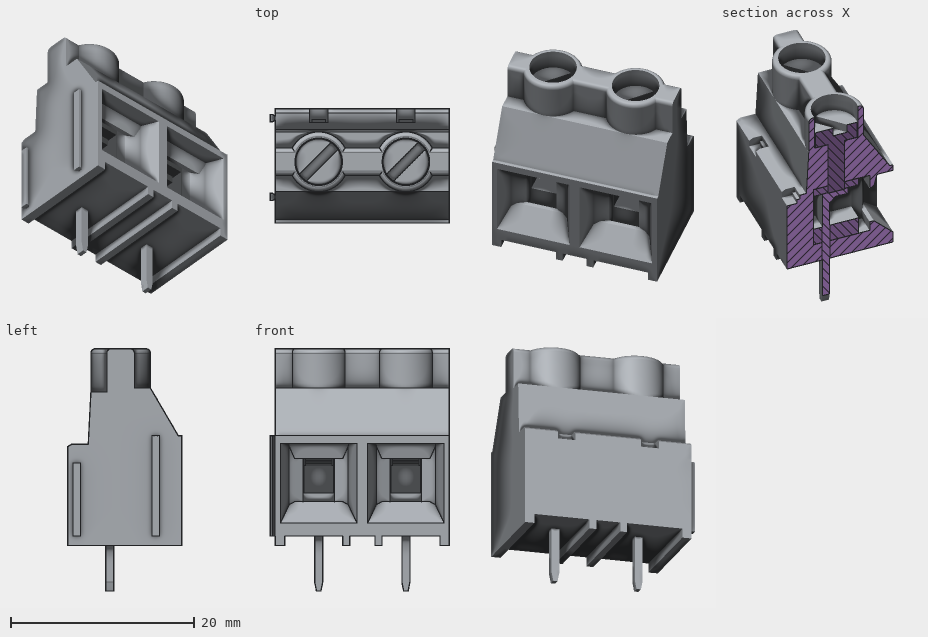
import cadquery as cq


pole_count = 2
body_width = 19.05
pole_pitch = body_width / pole_count
body_depth = 12.5
body_height = 21.52
standoff = 1.03

screw_y = 6.7
boss_radius = 3.25
web_thickness = 3.02
crest_fillet = 0.5
bore_radius = 2.6

front_ledge_depth = 0.4
front_ledge_z = 12.0
front_shoulder_y = screw_y - boss_radius
front_shoulder_z = 17.22
rear_shoulder_y = screw_y + boss_radius
rear_shoulder_z = 16.8
rear_ledge_y = 10.25
rear_ledge_z = 11.08
rear_chamfer_depth = 0.45
rear_chamfer_height = 0.26

outer_foot_width = 1.05
inner_foot_width = 0.8
inner_foot_gap = 2.73

rib_height = 0.55
rib_rim = 0.3
rib_width = 0.82
rib_neck = 0.4
rear_rib_y = 11.47
rear_rib_top = 9.04
front_rib_y = 2.85

opening_width = 8.35
opening_bottom = 2.5
opening_top = 11.15
throat_y = 1.95
throat_width = 6.45
passage_y = 2.78
passage_width = 3.42
passage_bottom = 4.8
passage_top = 9.51
floor_ramp_end = 2.28
roof_ramp_start = 1.88
roof_ramp_end = 2.28

notch_width = 2.01
notch_depth = 1.5
notch_height = 1.05
notch_rib_width = 1.5
notch_rib_depth = 0.35
notch_rib_height = 0.53

cage_front = 4.08
cage_rear = 2 * screw_y - cage_front
cage_bottom = 3.58
cage_top = 11.3
window_width = 3.2
window_bottom = 5.75
window_top = 10.34

pin_length = 4.98
pin_width = 0.9
pin_tip_width = 0.5
pin_tip_length = 1.0
contact_front = 7.45
contact_thickness = 0.9
contact_rear = contact_front + contact_thickness
plate_top = 8.75
leaf_width = 2.9
leaf_front = 5.3
cove_count = 3
cove_radius = 0.26

head_diameter = 5.0
head_top = 19.32
head_height = 2.12
shank_radius = 1.05
slot_width = 1.09
slot_depth = 1.05
slot_angle = 45

pole_centres = [pole_pitch * (index + 0.5) for index in range(pole_count)]


def box(x_centre, width, y_min, y_max, z_min, z_max):
    """A box centred on x_centre, between the given Y and Z limits."""
    size = (width, y_max - y_min, z_max - z_min)
    return cq.Workplane("XY").box(*size, centered=(True, False, False)).translate((x_centre, y_min, z_min))


def cylinder(x_centre, radius, z_min, z_max):
    """An upright cylinder on the screw axis of one pole."""
    return cq.Workplane("XY", origin=(x_centre, screw_y, z_min)).circle(radius).extrude(z_max - z_min)


def side_extrusion(points, x_centre, width):
    """A (Y, Z) outline extruded along X, centred on x_centre."""
    return cq.Workplane("YZ", origin=(x_centre, 0, 0)).polyline(points).close().extrude(width / 2, both=True)


def housing_block():
    outline = [
        (0, 0),
        (body_depth, 0),
        (body_depth, rear_ledge_z - rear_chamfer_height),
        (body_depth - rear_chamfer_depth, rear_ledge_z),
        (rear_ledge_y, rear_ledge_z),
        (rear_shoulder_y, rear_shoulder_z),
        (screw_y, rear_shoulder_z),
        (screw_y, front_shoulder_z),
        (front_shoulder_y, front_shoulder_z),
        (front_ledge_depth, front_ledge_z),
        (0, front_ledge_z),
    ]
    return side_extrusion(outline, body_width / 2, body_width)


def housing_crest():
    """The web along the top with a boss around each screw, rounded along its top edges."""
    web_front = screw_y - web_thickness / 2
    web_rear = screw_y + web_thickness / 2
    untrimmed_width = body_width + 4 * crest_fillet
    crest = box(body_width / 2, untrimmed_width, web_front, web_rear, rear_ledge_z, body_height)
    for x in pole_centres:
        crest = crest.union(cylinder(x, boss_radius, rear_shoulder_z, body_height))
    crest = crest.faces(">Z").edges().fillet(crest_fillet)
    return crest.intersect(box(body_width / 2, body_width, 0, body_depth, 0, body_height))


def standoff_channels():
    """Channels along Y that leave the four feet on the underside."""
    centre = body_width / 2
    inner_foot_outside = inner_foot_gap / 2 + inner_foot_width
    side_width = centre - outer_foot_width - inner_foot_outside
    side_offset = inner_foot_outside + side_width / 2
    channels = box(centre, inner_foot_gap, 0, body_depth, 0, standoff)
    for x in (centre - side_offset, centre + side_offset):
        channels = channels.union(box(x, side_width, 0, body_depth, 0, standoff))
    return channels


def dovetail_rib(y_centre, top):
    outline = [
        (0, y_centre - rib_neck / 2),
        (rib_rim - rib_height, y_centre - rib_width / 2),
        (-rib_height, y_centre - rib_width / 2),
        (-rib_height, y_centre + rib_width / 2),
        (rib_rim - rib_height, y_centre + rib_width / 2),
        (0, y_centre + rib_neck / 2),
    ]
    return cq.Workplane("XY", origin=(0, 0, standoff)).polyline(outline).close().extrude(top - standoff)


def wire_opening(x_centre):
    """The funnel down to the mouth of the cage chamber: a plan outline cut to a floor and roof profile."""
    half_plan = [
        (opening_width / 2, 0),
        (throat_width / 2, throat_y),
        (passage_width / 2, passage_y),
    ]
    plan = half_plan + [(-x, y) for x, y in reversed(half_plan)]
    profile = [
        (0, opening_bottom),
        (floor_ramp_end, passage_bottom),
        (passage_y, passage_bottom),
        (passage_y, passage_top),
        (roof_ramp_end, passage_top),
        (roof_ramp_start, opening_top),
        (0, opening_top),
    ]
    funnel = cq.Workplane("XY", origin=(x_centre, 0, 0)).polyline(plan).close().extrude(opening_top)
    return funnel.intersect(side_extrusion(profile, x_centre, opening_width))


def rear_notch(x_centre):
    """A notch in the rear ledge, with a low rib left standing against its front wall."""
    front = body_depth - notch_depth
    floor = rear_ledge_z - notch_height
    notch = box(x_centre, notch_width, front, body_depth, floor, rear_ledge_z)
    rib = box(x_centre, notch_rib_width, front, front + notch_rib_depth, floor, floor + notch_rib_height)
    return notch.cut(rib)


def cage_envelope(x_centre):
    return box(x_centre, passage_width, cage_front, cage_rear, cage_bottom, cage_top)


def cage_chamber(x_centre):
    """The chamber that holds the cage and opens into the funnel in front of it."""
    return box(x_centre, passage_width, passage_y, cage_rear, cage_bottom, cage_top)


def pin_passage(x_centre):
    """The straight hole that the solder pin fills below the cage window."""
    return box(x_centre, pin_width, contact_front, contact_rear, 0, window_bottom)


def make_housing():
    housing = housing_block().union(housing_crest()).cut(standoff_channels())
    housing = housing.union(dovetail_rib(front_rib_y, front_ledge_z))
    housing = housing.union(dovetail_rib(rear_rib_y, rear_rib_top))
    for x in pole_centres:
        housing = housing.cut(cylinder(x, bore_radius, head_top - head_height, body_height))
        housing = housing.cut(cylinder(x, shank_radius, cage_top, body_height))
        housing = housing.cut(wire_opening(x)).cut(rear_notch(x))
        housing = housing.cut(cage_chamber(x)).cut(pin_passage(x))
    return housing


def make_cage(x_centre):
    """A rectangular tube open along Y, pierced by the screw above and the solder pin below."""
    cage = cage_envelope(x_centre)
    cage = cage.cut(box(x_centre, window_width, cage_front, cage_rear, window_bottom, window_top))
    cage = cage.cut(cylinder(x_centre, shank_radius, window_top, cage_top))
    return cage.cut(pin_passage(x_centre))


def contact_leaf(x_centre):
    """The leaf under the screw; a flight of concave coves leads from the plate to its underside."""
    diagonal = cove_radius * 0.5 ** 0.5
    y = contact_front
    z = plate_top
    outline = cq.Workplane("YZ", origin=(x_centre, 0, 0)).moveTo(contact_rear, plate_top).lineTo(y, z)
    for _ in range(cove_count):
        middle = (y - cove_radius + diagonal, z + diagonal)
        y -= cove_radius
        z += cove_radius
        outline = outline.threePointArc(middle, (y, z))
    outline = outline.lineTo(leaf_front, z).lineTo(leaf_front, window_top).lineTo(contact_rear, window_top)
    return outline.close().extrude(leaf_width / 2, both=True)


def make_contact(x_centre):
    """The plate inside the cage with its leaf above and its pointed solder pin below."""
    taper_z = pin_tip_length - pin_length
    pin_outline = [
        (-pin_width / 2, window_bottom),
        (-pin_width / 2, taper_z),
        (-pin_tip_width / 2, -pin_length),
        (pin_tip_width / 2, -pin_length),
        (pin_width / 2, taper_z),
        (pin_width / 2, window_bottom),
    ]
    pin = cq.Workplane("XZ", origin=(x_centre, contact_rear, 0)).polyline(pin_outline).close()
    plate = box(x_centre, window_width, contact_front, contact_rear, window_bottom, plate_top)
    return plate.union(pin.extrude(contact_thickness)).union(contact_leaf(x_centre))


def make_screw(x_centre):
    """A slotted cylindrical head on a shank that reaches down to the contact leaf."""
    head_bottom = head_top - head_height
    screw = cylinder(x_centre, head_diameter / 2, head_bottom, head_top)
    screw = screw.union(cylinder(x_centre, shank_radius, window_top, head_bottom))
    slot = cq.Workplane("XY").box(head_diameter, slot_width, slot_depth, centered=(True, True, False))
    slot = slot.rotate((0, 0, 0), (0, 0, 1), slot_angle)
    return screw.cut(slot.translate((x_centre, screw_y, head_top - slot_depth)))


housing = make_housing()
cages = [make_cage(x) for x in pole_centres]
contacts = [make_contact(x) for x in pole_centres]
screws = [make_screw(x) for x in pole_centres]

terminal_parts = [body.val() for body in cages + contacts + screws]
result = cq.Compound.makeCompound([housing.val(), *terminal_parts])